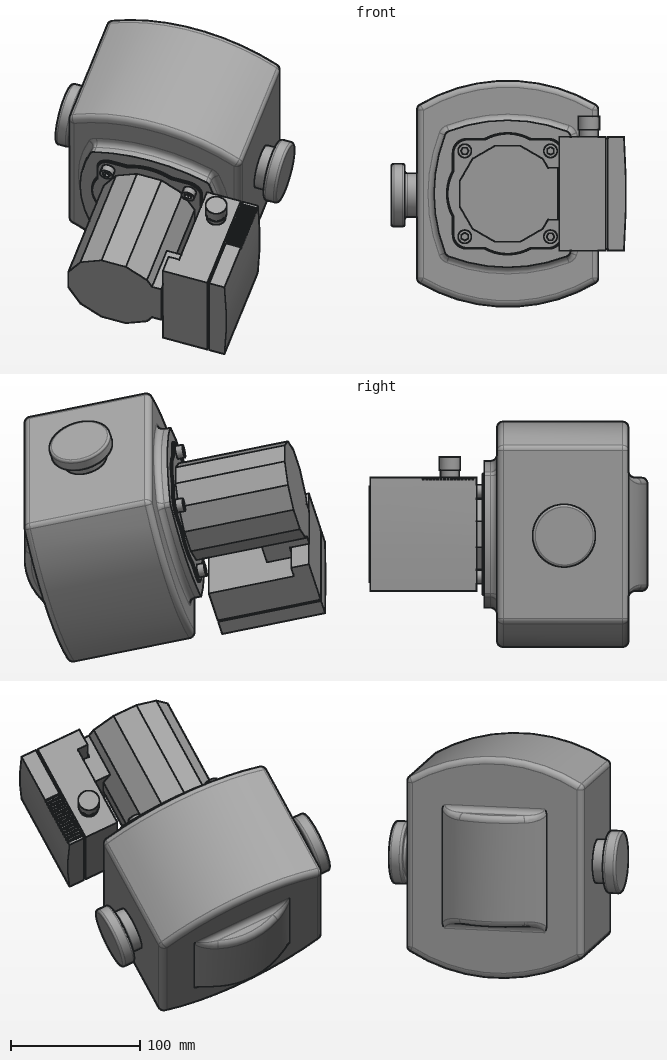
import cadquery as cq
import math

edge_round = 5.0

housing_half_width = 70.3
housing_half_height = 87.61
housing_corner_z = 67.7
housing_front = -52.0
housing_back = 50.0

boss_radius = 64.9
boss_half_height = 44.0

pad_half_size = 57.0
pad_corner = 47.6
pad_front = -61.9

pipe_z = -1.0
pipe_radius = 17.0
flange_radius = 24.4
flange_outer_x = 90.0
flange_thickness = 10.5
flange_round = 2.0
pipe_root_round = 1.7

plate_half_size = 42.7
plate_corner_radius = 11.2
plate_bulge_size = 47.2
plate_bulge_half_width = 17.7
plate_thickness = 1.5
plate_chamfer = 0.9

motor_sides = 12
motor_apothem = 37.0
motor_front = boss_radius - 215.5

neck_half_height = 20.0
neck_back = -114.2
neck_step_y = -135.0
neck_end_x = 48.5
neck_step_x = 38.8

screw_offset = 33.2
screw_head_radius = 5.2
screw_head_height = 5.5
socket_diameter = 6.0
socket_depth = 2.8
socket_sides = 6

box_half_height = 44.0
box_back = -67.7
box_front = -150.0
box_heel_x = 39.9
box_heel_y = -135.8
cover_edge_x = 90.0
cover_crown_x = 91.5
cover_seam_x = 76.0
cover_seam_width = 1.5
cover_seam_depth = 1.0

groove_count = 15
groove_pitch = 2.74
groove_width = 1.0
groove_depth = 2.0
groove_first_y = -70.0

gland_x = 63.0
gland_y = -88.4
gland_stem_radius = 7.3
gland_cap_radius = 8.2
gland_cap_bottom = 49.5
gland_cap_top = 60.0

plate_front = pad_front - plate_thickness


def along_y(start):
    """Sketch plane facing -Y at the given Y; its local axes are X and Z."""
    return cq.Workplane("XZ", origin=(0, start, 0))


def housing_block():
    outline = (
        along_y(housing_back)
        .moveTo(-housing_half_width, -housing_corner_z)
        .threePointArc((0, -housing_half_height), (housing_half_width, -housing_corner_z))
        .lineTo(housing_half_width, housing_corner_z)
        .threePointArc((0, housing_half_height), (-housing_half_width, housing_corner_z))
        .close()
    )
    return outline.extrude(housing_back - housing_front).edges().fillet(edge_round)


def rear_boss():
    """Disc about the Z axis with rounded rims, its flat faces flaring into the back of the housing."""
    flare_y = housing_back + edge_round
    flare_z = boss_half_height + edge_round
    arc_y = flare_y - edge_round * math.sqrt(0.5)
    arc_z = flare_z - edge_round * math.sqrt(0.5)
    profile = (
        cq.Workplane("YZ", origin=(-boss_radius, 0, 0))
        .moveTo(0, -flare_z)
        .lineTo(housing_back, -flare_z)
        .threePointArc((arc_y, -arc_z), (flare_y, -boss_half_height))
        .lineTo(boss_radius, -boss_half_height)
        .lineTo(boss_radius, boss_half_height)
        .lineTo(flare_y, boss_half_height)
        .threePointArc((arc_y, arc_z), (housing_back, flare_z))
        .lineTo(0, flare_z)
        .close()
        .extrude(2 * boss_radius)
    )
    disc = cq.Workplane("XY").circle(boss_radius).extrude(flare_z, both=True)
    behind_housing = cq.selectors.BoxSelector(
        (-boss_radius, housing_back - 0.2, -flare_z - 0.2),
        (boss_radius, boss_radius, flare_z + 0.2),
        boundingbox=True,
    )
    return profile.intersect(disc).edges(behind_housing).edges("%CIRCLE or %BSPLINE").fillet(edge_round)


def front_pad():
    c = pad_corner
    s = pad_half_size
    return (
        along_y(0)
        .moveTo(-c, -c)
        .threePointArc((0, -s), (c, -c))
        .threePointArc((s, 0), (c, c))
        .threePointArc((0, s), (-c, c))
        .threePointArc((-s, 0), (-c, -c))
        .close()
        .extrude(-pad_front)
        .edges("|Y")
        .fillet(edge_round)
    )


def pipe_stub(side):
    flange_inner_x = flange_outer_x - flange_thickness
    pipe = cq.Workplane("YZ", origin=(0, 0, pipe_z)).circle(pipe_radius).extrude(side * flange_outer_x)
    flange = (
        cq.Workplane("YZ", origin=(side * flange_inner_x, 0, pipe_z))
        .circle(flange_radius)
        .extrude(side * flange_thickness)
        .edges()
        .fillet(flange_round)
    )
    root = cq.selectors.BoxSelector(
        (side * flange_inner_x - 0.2, -pipe_radius - 0.2, pipe_z - pipe_radius - 0.2),
        (side * flange_inner_x + 0.2, pipe_radius + 0.2, pipe_z + pipe_radius + 0.2),
        boundingbox=True,
    )
    return pipe.union(flange).edges(root).fillet(pipe_root_round)


def edges_on_face(y, reach):
    """Selector for the edges lying on a housing end face within reach of the pump axis."""
    slack = 0.2
    return cq.selectors.BoxSelector(
        (-reach, y - slack, -reach), (reach, y + slack, reach), boundingbox=True
    )


def make_housing():
    body = housing_block().union(rear_boss())
    body = body.union(front_pad())
    body = body.edges(edges_on_face(housing_front, pad_half_size + 2.2)).fillet(edge_round)
    for side in (-1, 1):
        body = body.union(pipe_stub(side))
    return body


def flange_plate():
    """Rounded square with a bulge on every side, built from one side outline turned four times."""
    s = plate_half_size
    w = plate_bulge_half_width
    corner_start = s - plate_corner_radius
    corner_middle = corner_start + plate_corner_radius * math.sqrt(0.5)

    outline = along_y(pad_front).moveTo(-w, -s)
    for quarter in range(4):
        def turned(x, z):
            for _ in range(quarter):
                x, z = -z, x
            return (x, z)

        outline = (
            outline.threePointArc(turned(0, -plate_bulge_size), turned(w, -s))
            .lineTo(*turned(corner_start, -s))
            .threePointArc(turned(corner_middle, -corner_middle), turned(s, -corner_start))
            .lineTo(*turned(s, -w))
        )
    return outline.close().extrude(plate_thickness).faces("<Y").chamfer(plate_chamfer)


def motor_body():
    half_step = math.pi / motor_sides
    return (
        along_y(plate_front)
        .transformed(rotate=(0, 0, math.degrees(half_step)))
        .polygon(motor_sides, 2 * motor_apothem / math.cos(half_step))
        .extrude(plate_front - motor_front)
    )


def box_neck():
    """Stepped neck on the +X side; its inner end is buried in the motor body."""
    outline = (
        cq.Workplane("XY")
        .moveTo(0, motor_front)
        .lineTo(neck_step_x, motor_front)
        .lineTo(neck_step_x, neck_step_y)
        .lineTo(neck_end_x, neck_step_y)
        .lineTo(neck_end_x, neck_back)
        .lineTo(0, neck_back)
        .close()
    )
    return outline.extrude(neck_half_height, both=True)


def make_motor():
    return flange_plate().union(motor_body()).union(box_neck())


def make_screw(x, z, socket_turn):
    head = along_y(plate_front).center(x, z).circle(screw_head_radius).extrude(screw_head_height)
    socket = (
        along_y(plate_front - screw_head_height + socket_depth)
        .center(x, z)
        .transformed(rotate=(0, 0, socket_turn))
        .polygon(socket_sides, socket_diameter)
        .extrude(socket_depth)
    )
    return head.cut(socket)


def box_block():
    """Box and cover in one block, with a heel over the neck and a crowned outer face."""
    h = box_half_height
    block = (
        along_y(box_back)
        .moveTo(box_heel_x, -h)
        .lineTo(cover_edge_x, -h)
        .threePointArc((cover_crown_x, 0), (cover_edge_x, h))
        .lineTo(box_heel_x, h)
        .close()
        .extrude(box_back - box_front)
    )
    above_heel = (
        cq.Workplane("XY")
        .moveTo(box_heel_x, box_back)
        .lineTo(neck_end_x, box_back)
        .lineTo(neck_end_x, box_heel_y)
        .lineTo(box_heel_x, box_heel_y)
        .close()
        .extrude(h, both=True)
    )
    return block.cut(above_heel)


def cover_seam():
    """Frame that cuts the shallow seam around all four sides of the box."""
    length = box_back - box_front
    middle_y = (box_back + box_front) / 2
    height = 2 * box_half_height
    return (
        cq.Workplane("YZ", origin=(cover_seam_x, middle_y, 0))
        .rect(length, height)
        .rect(length - 2 * cover_seam_depth, height - 2 * cover_seam_depth)
        .extrude(cover_seam_width)
    )


def cover_groove(index):
    """One of the fine grooves across the top of the cover, open at both ends."""
    start_x = cover_seam_x + cover_seam_width
    return cq.Workplane("XY").box(
        cover_crown_x - start_x, groove_width, groove_depth, centered=False
    ).translate(
        (start_x, groove_first_y - index * groove_pitch - groove_width, box_half_height - groove_depth)
    )


def cable_gland():
    stem = (
        cq.Workplane("XY", origin=(gland_x, gland_y, box_half_height))
        .circle(gland_stem_radius)
        .extrude(gland_cap_bottom - box_half_height)
    )
    cap = (
        cq.Workplane("XY", origin=(gland_x, gland_y, gland_cap_bottom))
        .circle(gland_cap_radius)
        .extrude(gland_cap_top - gland_cap_bottom)
    )
    return stem.union(cap)


def make_terminal_box():
    body = box_block().cut(cover_seam())
    for index in range(groove_count):
        body = body.cut(cover_groove(index))
    return body.union(cable_gland())


housing = make_housing()
motor = make_motor()
terminal_box = make_terminal_box()

screws = []
for x_side in (-1, 1):
    for z_side in (-1, 1):
        turn = 30 if x_side == z_side else 0
        screws.append(make_screw(x_side * screw_offset, z_side * screw_offset, turn))

result = cq.Compound.makeCompound(
    [housing.val(), motor.val(), *[screw.val() for screw in screws], terminal_box.val()]
)